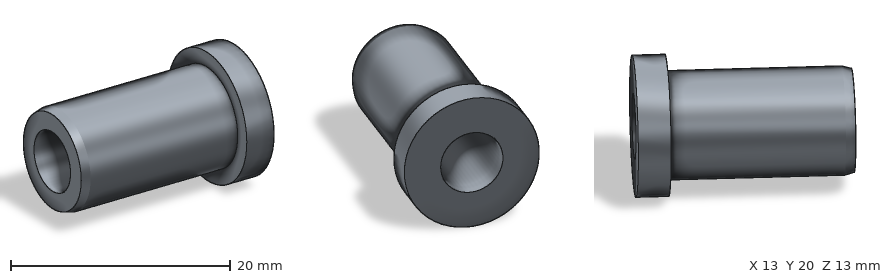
import cadquery as cq
import math

length = 20.0
head_diameter = 13.0
head_thickness = 3.0
shank_diameter = 10.0
bore_diameter = 6.0

tip_diameter = 9.52
taper_angle = 15.0

head_radius = head_diameter / 2
shank_radius = shank_diameter / 2
bore_radius = bore_diameter / 2
tip_radius = tip_diameter / 2
taper_length = (shank_radius - tip_radius) / math.tan(math.radians(taper_angle))
head_underside = length - head_thickness

half_section = (
    cq.Workplane("XY")
    .moveTo(bore_radius, 0)
    .lineTo(tip_radius, 0)
    .lineTo(shank_radius, taper_length)
    .lineTo(shank_radius, head_underside)
    .lineTo(head_radius, head_underside)
    .lineTo(head_radius, length)
    .lineTo(bore_radius, length)
    .close()
)

result = half_section.revolve(360, (0, 0, 0), (0, 1, 0))